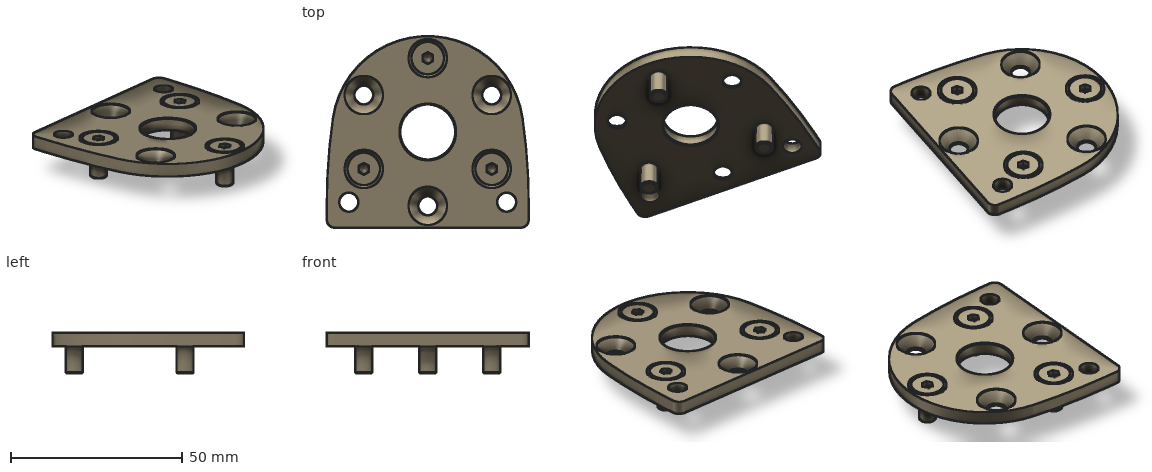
import cadquery as cq
import math

plate_width = 59.0
plate_thickness = 4.0
nose_radius = 27.95
flank_radius = 179.95
bottom_y = -nose_radius
corner_radius = 2.5
bore_diameter = 16.0
bore_chamfer = 0.3
mount_hole_diameter = 5.5
mount_hole_x = 23.0
mount_hole_y = -20.5

ring_radius = 21.55
ring_count = 6
ring_step = 360 / ring_count
top_angle = 90.0
clearance_diameter = 5.4
countersink_diameter = 11.2
countersink_rim = 0.35

total_height = 12.0
head_diameter = 9.45
shank_diameter = 5.0
tip_chamfer = 0.4
socket_sides = 6
socket_flats = 3.0
socket_depth = 2.0
socket_cone_depth = 0.8

half_width = plate_width / 2
cone_depth = (countersink_diameter - clearance_diameter) / 2
head_top_z = 0.0
head_seat_z = -countersink_rim - (countersink_diameter - head_diameter) / 2
screw_tip_z = -total_height


def ring_point(index):
    """Centre of one ring hole, counted anticlockwise from the top one."""
    angle = math.radians(top_angle + index * ring_step)
    return ring_radius * math.cos(angle), ring_radius * math.sin(angle)


def make_plate_blank():
    """D-shaped outline with tangent flank arcs; the top face lies at z = 0."""
    flank_x = half_width - flank_radius
    flank_y = -math.sqrt((flank_radius - nose_radius) ** 2 - flank_x ** 2)
    tangent_angle = math.atan2(-flank_y, -flank_x)
    tangent_x = nose_radius * math.cos(tangent_angle)
    tangent_y = nose_radius * math.sin(tangent_angle)
    middle_x = flank_x + flank_radius * math.cos(tangent_angle / 2)
    middle_y = flank_y + flank_radius * math.sin(tangent_angle / 2)

    return (
        cq.Workplane("XY")
        .workplane(offset=-plate_thickness)
        .moveTo(-half_width, bottom_y)
        .lineTo(half_width, bottom_y)
        .lineTo(half_width, flank_y)
        .threePointArc((middle_x, middle_y), (tangent_x, tangent_y))
        .threePointArc((0, nose_radius), (-tangent_x, tangent_y))
        .threePointArc((-middle_x, middle_y), (-half_width, flank_y))
        .close()
        .extrude(plate_thickness)
        .edges("|Z and <Y")
        .fillet(corner_radius)
    )


def make_countersink_cutter(x, y):
    """Revolved volume of one countersunk hole."""
    cone_end_z = -countersink_rim - cone_depth
    profile = [
        (0, 0),
        (countersink_diameter / 2, 0),
        (countersink_diameter / 2, -countersink_rim),
        (clearance_diameter / 2, cone_end_z),
        (clearance_diameter / 2, -plate_thickness),
        (0, -plate_thickness),
    ]
    cutter = cq.Workplane("XZ").polyline(profile).close().revolve(360, (0, 0), (0, 1))
    return cutter.translate((x, y, 0))


def make_bore_cutter():
    """Revolved volume of the bore, chamfered at both faces of the plate."""
    bore_radius = bore_diameter / 2
    profile = [
        (0, 0),
        (bore_radius + bore_chamfer, 0),
        (bore_radius, -bore_chamfer),
        (bore_radius, -plate_thickness + bore_chamfer),
        (bore_radius + bore_chamfer, -plate_thickness),
        (0, -plate_thickness),
    ]
    return cq.Workplane("XZ").polyline(profile).close().revolve(360, (0, 0), (0, 1))


def make_plate():
    plate = make_plate_blank()
    plate = plate.cut(make_bore_cutter())
    mount_points = [(-mount_hole_x, mount_hole_y), (mount_hole_x, mount_hole_y)]
    plate = (
        plate.faces(">Z")
        .workplane(origin=(0, 0, 0))
        .pushPoints(mount_points)
        .hole(mount_hole_diameter)
    )
    for index in range(ring_count):
        plate = plate.cut(make_countersink_cutter(*ring_point(index)))
    return plate


def make_socket_cutter():
    """Hexagonal socket, corners toward +Y and -Y, ending in a drill-point cone."""
    across_corners = socket_flats / math.cos(math.pi / socket_sides)
    hexagon = (
        cq.Workplane("XY")
        .workplane(offset=head_top_z)
        .transformed(rotate=(0, 0, 90))
        .polygon(socket_sides, across_corners)
        .extrude(-socket_depth)
    )
    floor_z = head_top_z - socket_depth
    cone = (
        cq.Workplane("XZ")
        .polyline([(0, floor_z), (socket_flats / 2, floor_z), (0, floor_z - socket_cone_depth)])
        .close()
        .revolve(360, (0, 0), (0, 1))
    )
    return hexagon.union(cone)


def make_screw(x, y):
    """Countersunk screw whose head bears on the cone of its hole."""
    cone_height = (head_diameter - shank_diameter) / 2
    shank_radius = shank_diameter / 2
    profile = [
        (0, head_top_z),
        (head_diameter / 2, head_top_z),
        (head_diameter / 2, head_seat_z),
        (shank_radius, head_seat_z - cone_height),
        (shank_radius, screw_tip_z + tip_chamfer),
        (shank_radius - tip_chamfer, screw_tip_z),
        (0, screw_tip_z),
    ]
    screw = cq.Workplane("XZ").polyline(profile).close().revolve(360, (0, 0), (0, 1))
    return screw.cut(make_socket_cutter()).translate((x, y, 0))


plate = make_plate()
screws = [make_screw(*ring_point(index)) for index in range(0, ring_count, 2)]

result = cq.Compound.makeCompound([plate.val(), *[screw.val() for screw in screws]])